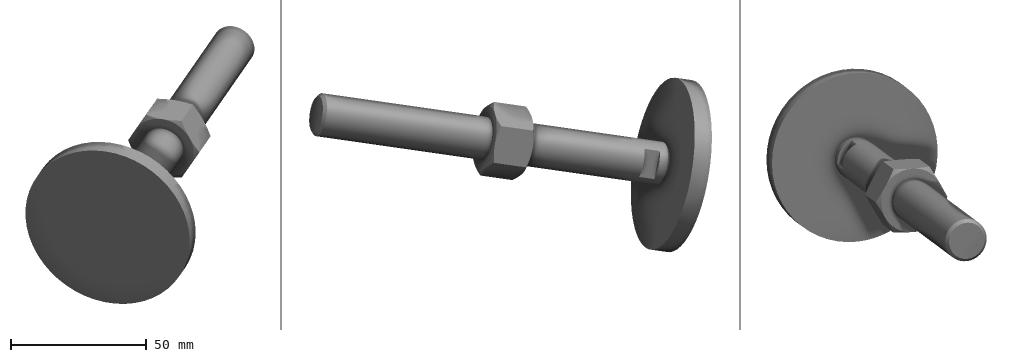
import cadquery as cq
import math

total_length = 144.0

plate_diameter = 64.0
plate_thickness = 6.8

rod_diameter = 16.0
rod_chamfer = 1.2
rod_length = total_length - plate_thickness

flats_start = 11.1
flats_width = 6.0
flats_across = 12.0
flats_angle = 30.0

nut_start = 62.5
nut_height = 14.8
nut_across_flats = 24.0
nut_across_corners = nut_across_flats / math.cos(math.radians(30))
nut_chamfer_angle = 30.0


def base_plane(height):
    """Plane square to the axis at the given Y, with its normal along +Y and local x along +X."""
    return cq.Plane(origin=(0, height, 0), xDir=(1, 0, 0), normal=(0, 1, 0))


def make_plate():
    return cq.Workplane(base_plane(0)).circle(plate_diameter / 2).extrude(plate_thickness)


def make_flat_cutters():
    """Blocks on opposite sides of the rod that leave the wrench flats between them."""
    cutter_depth = rod_diameter / 2
    cutter_offset = flats_across / 2 + cutter_depth / 2
    return (
        cq.Workplane(base_plane(flats_start))
        .pushPoints([(-cutter_offset, 0), (cutter_offset, 0)])
        .rect(cutter_depth, rod_diameter)
        .extrude(flats_width)
        .rotate((0, 0, 0), (0, 1, 0), -flats_angle)
    )


def make_rod():
    rod = (
        cq.Workplane(base_plane(plate_thickness))
        .circle(rod_diameter / 2)
        .extrude(rod_length)
        .faces("<Y or >Y")
        .chamfer(rod_chamfer)
    )
    return rod.cut(make_flat_cutters())


def make_nut_envelope():
    """Double-coned disc that bevels the nut corners from the across-flats circle outwards."""
    face_radius = nut_across_flats / 2
    corner_radius = nut_across_corners / 2
    corner_drop = (corner_radius - face_radius) * math.tan(math.radians(nut_chamfer_angle))
    nut_end = nut_start + nut_height
    return (
        cq.Workplane("XY")
        .moveTo(0, nut_start)
        .lineTo(face_radius, nut_start)
        .lineTo(corner_radius, nut_start + corner_drop)
        .lineTo(corner_radius, nut_end - corner_drop)
        .lineTo(face_radius, nut_end)
        .lineTo(0, nut_end)
        .close()
        .revolve(360, (0, 0, 0), (0, 1, 0))
    )


def make_nut():
    """Hexagon nut with corners on the X axis and a bore that fits the rod."""
    hexagon = cq.Workplane(base_plane(nut_start)).polygon(6, nut_across_corners).extrude(nut_height)
    bore = cq.Workplane(base_plane(nut_start)).circle(rod_diameter / 2).extrude(nut_height)
    return hexagon.intersect(make_nut_envelope()).cut(bore)


plate = make_plate()
rod = make_rod()
nut = make_nut()

result = cq.Compound.makeCompound([plate.val(), rod.val(), nut.val()])